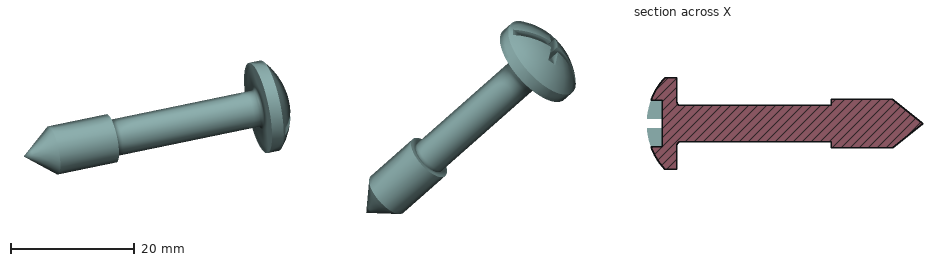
import cadquery as cq


head_radius = 15.0 / 2
rim_height = 2.0
dome_height = 3.0
head_height = rim_height + dome_height
dome_sphere_radius = (head_radius**2 + dome_height**2) / (2 * dome_height)

slot_width = 1.5
slot_depth = 2.5
cross_slot_length = 7.5

shank_radius = 6.0 / 2
shank_length = 25.0
neck_fillet_radius = 0.5
collar_radius = 8.0 / 2
collar_length = 10.0
tip_length = 5.0


def make_body():
    """Revolve the half profile, drawn as (radius, Y), about the Y axis."""
    collar_top = -shank_length
    tip_base = collar_top - collar_length
    tip_end = tip_base - tip_length

    dome_mid_radius = head_radius / 2
    dome_centre_y = head_height - dome_sphere_radius
    dome_mid_y = dome_centre_y + (dome_sphere_radius**2 - dome_mid_radius**2) ** 0.5

    profile = (
        cq.Workplane("ZY")
        .moveTo(0, tip_end)
        .lineTo(collar_radius, tip_base)
        .lineTo(collar_radius, collar_top)
        .lineTo(shank_radius, collar_top)
        .lineTo(shank_radius, -neck_fillet_radius)
        .radiusArc((shank_radius + neck_fillet_radius, 0), neck_fillet_radius)
        .lineTo(head_radius, 0)
        .lineTo(head_radius, rim_height)
        .threePointArc((dome_mid_radius, dome_mid_y), (0, head_height))
        .close()
    )
    return profile.revolve(360, (0, 0, 0), (0, 1, 0))


def make_slot(size_x, size_z):
    """Rectangular cutter reaching down from the crown of the head."""
    slot_centre_y = head_height - slot_depth / 2
    cutter = cq.Workplane("XY").box(size_x, slot_depth, size_z)
    return cutter.translate((0, slot_centre_y, 0))


main_slot = make_slot(2 * head_radius, slot_width)
cross_slot = make_slot(slot_width, cross_slot_length)

result = make_body().cut(main_slot).cut(cross_slot)